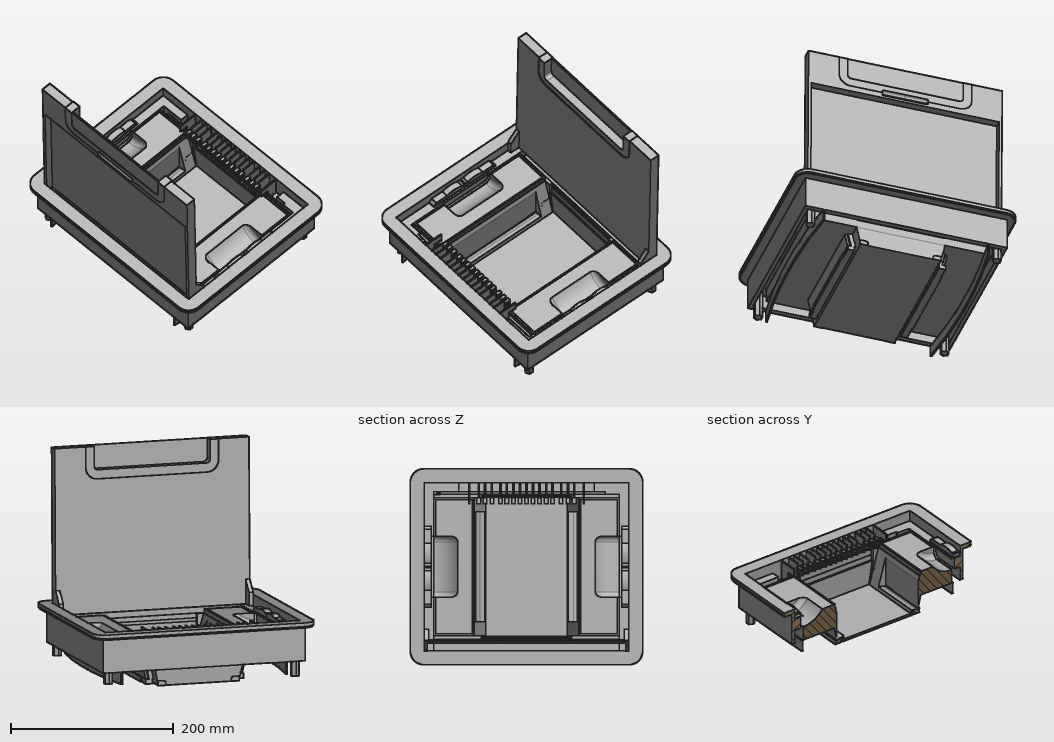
import cadquery as cq
import math

FLANGE_X = 285.97
FLANGE_Y = 240.97
FLANGE_RADIUS = 17.0
FLANGE_EDGE = 4.8
FLANGE_THICKNESS = 6.6
FLANGE_STEP = 1.0

BOX_X = 262.0
BOX_Y = 219.0
BOX_BOTTOM = -49.6
OPENING_HALF_X = 125.9
OPENING_BACK = 103.2
OPENING_FRONT = -103.2
FLOOR_TOP = -27.0
FLOOR_THICKNESS = 4.0
FLOOR_BOTTOM = FLOOR_TOP - FLOOR_THICKNESS
LEDGE_TOP = -14.5

TRAY_HALF_X = 113.8
TRAY_HALF_Y = 89.0
TRAY_TOP = -21.0
PANEL_TOP = -15.0
PANEL_OUTER_X = 111.7
PANEL_INNER_X = 66.8
PANEL_HALF_Y = 82.3
BORDER_HALF_Y = 85.0
BORDER_INNER_X = 64.8
BORDER_DROP = 0.6

RAIL_BACK = 92.0
RAIL_RIGHT = 97.0
RAIL_TOP = -22.0
SLOT_RIGHT = -106.0

SHELF_INNER_X = 83.4

FIN_OFFSETS = [8.0, 16.0, 24.2, 31.9, 42.5, 51.0, 58.6]
FIN_WIDTH = 1.4
FIN_FRONT = 85.0
FIN_TOP = -1.0
TAB_WIDTH = 4.6
TAB_FRONT = 77.5
TAB_THICKNESS = 3.0
TAB_TOPS = [-5.0, -11.0]
END_FIN_X = 70.3
END_FIN_TIP = -12.0

CLIP_HALF_Y = 50.0
CLIP_DEPTH = 9.0
CLIP_TOP = -9.5
CLIP_CHAMFER = 4.0
HUMP_INNER_Y = 4.6
HUMP_OUTER_Y = 28.8
HUMP_RISE = 2.5
CLIP_GAP = 1.8

SCOOP_HALF_Y = 37.5
SCOOP_DEPTH = 15.0
SCOOP_INNER_X = 84.5
SCOOP_WIDTH = TRAY_HALF_X - SCOOP_INNER_X
SCOOP_RADIUS = (SCOOP_WIDTH**2 + SCOOP_DEPTH**2) / (2 * SCOOP_DEPTH)
SCOOP_OUTER_X = 117.0
SCOOP_END_RADIUS = 7.0

LEG_DIAMETER = 10.8
LEG_X = 121.0
LEG_Y = 98.7
LEG_BOTTOM_LEFT = -69.4
LEG_BOTTOM_RIGHT = -64.9
BOW_BOTTOM = -64.9
BOW_END_X = 107.8
BOW_MIDDLE_X = 116.0
BOW_THICKNESS = 2.0

CUP_BOTTOM = -73.8
CUP_FLOOR = -70.0
CUP_TOP_HALF_X = 64.0
CUP_FLOOR_HALF_X = 50.2
CUP_TOP_HALF_Y = 84.5
CUP_END_HALF_X = 55.7
CUP_LEDGE = -38.0
CUP_END_HALF_Y = 88.0
CUP_LEDGE_HALF_Y = 86.0
CUP_FLOOR_HALF_Y = 85.6
CUP_OUTER_TOP_X = 57.5
CUP_OUTER_BOTTOM_X = 52.0
CUP_OUTER_TOP_Y = 89.0
CUP_OUTER_BOTTOM_Y = 87.6

BULGE_TOP_X = 66.4
BULGE_TAPER = 3.9
BULGE_HALF_Y = 73.0
BULGE_STEP_X = 3.2
BULGE_STEP_Y = 3.0
BULGE_BOTTOM = -67.7
POCKET_HALF_Y = 67.5
POCKET_OUTER_X = 62.2
POCKET_OUTER_Z = -68.0
POCKET_KNEE_Z = -66.5
POCKET_INNER_X = 51.5
POCKET_INNER_Z = -65.5
POCKET_TOP = -27.0
POCKET_KNEE_X = 57.7
FOOT_X = 64.3
FOOT_END_X = 63.3
FOOT_INNER_X = 55.0
FOOT_HALF_Y = 56.0
LIP_INNER_X = 42.4
LIP_OUTER_X = 52.5
LIP_Y = 88.2
LIP_DEPTH = 2.5
LIP_RADIUS = 3.0

TILT = 1.0
LID_TOP = 194.3
LID_HALF_X = 125.8
LID_THICKNESS = 12.9
LATCH_THICKNESS = 13.9
LID_FRONT = -102.9
LID_BOTTOM = -14.0
LID_HEIGHT = (LID_TOP - LATCH_THICKNESS * math.sin(math.radians(TILT))) / math.cos(math.radians(TILT))
INLAY_HALF_X = 121.9
INLAY_TOP = LID_HEIGHT - 48.4
INLAY_DEPTH = 9.6
EAR_THICKNESS = 5.5
EAR_REACH = 26.0
EAR_TOP = 17.0
EAR_NOSE = 2.5

LATCH_OUTER_X = 86.0
LATCH_OUTER_DROP = 40.6
LATCH_OUTER_RADIUS = 15.0
LATCH_INNER_X = 75.0
LATCH_INNER_DROP = 29.2
LATCH_INNER_RADIUS = 5.0
WEB_RECESS = 0.4
WEB_THICKNESS = 1.8
GRIP_HALF_X = 29.8
GRIP_RADIUS = 3.8
GRIP_END_RADIUS = 2.3
GRIP_DROP = LATCH_OUTER_DROP


def block(x0, x1, y0, y1, z0, z1):
    """Axis-aligned box between two opposite corners."""
    return cq.Workplane("XY").box(x1 - x0, y1 - y0, z1 - z0, centered=False).translate((x0, y0, z0))


def side_block(side, x0, x1, y0, y1, z0, z1):
    """Box given for the +X side, placed on the side named by +1 or -1."""
    left, right = sorted((side * x0, side * x1))
    return block(left, right, y0, y1, z0, z1)


def tapered_block(half_x0, half_y0, z0, half_x1, half_y1, z1):
    """Centred block whose rectangle changes from level z0 to level z1."""
    return (
        cq.Workplane("XY", origin=(0, 0, z0)).rect(2 * half_x0, 2 * half_y0)
        .workplane(offset=z1 - z0).rect(2 * half_x1, 2 * half_y1).loft(ruled=True)
    )


def prism_along_y(side, outline, half_y):
    """XZ outline given for the +X side, extruded evenly about Y = 0."""
    points = [(side * x, z) for x, z in outline]
    return cq.Workplane("XZ").polyline(points).close().extrude(half_y, both=True)


def scoop(side):
    """Rounded finger hollow cut down into a tray panel and the ledge beside it."""
    axis_z = PANEL_TOP - SCOOP_DEPTH + SCOOP_RADIUS
    barrel = (
        cq.Workplane("XZ").center(side * TRAY_HALF_X, axis_z).circle(SCOOP_RADIUS)
        .extrude(SCOOP_HALF_Y, both=True).edges("%CIRCLE").fillet(SCOOP_END_RADIUS)
    )
    limit = side_block(side, SCOOP_INNER_X, SCOOP_OUTER_X, -SCOOP_HALF_Y, SCOOP_HALF_Y,
                       PANEL_TOP - SCOOP_DEPTH, PANEL_TOP)
    return barrel.intersect(limit)


def make_shell():
    """Flanged box with a floor that is open where the tray sits."""
    flange = cq.Workplane("XY").rect(FLANGE_X, FLANGE_Y).extrude(-FLANGE_EDGE)
    flange = flange.edges("|Z").fillet(FLANGE_RADIUS)
    lower_x = FLANGE_X - 2 * FLANGE_STEP
    lower_y = FLANGE_Y - 2 * FLANGE_STEP
    lower = cq.Workplane("XY").rect(lower_x, lower_y).extrude(-FLANGE_THICKNESS)
    lower = lower.edges("|Z").fillet(FLANGE_RADIUS - FLANGE_STEP)
    box = cq.Workplane("XY").rect(BOX_X, BOX_Y).extrude(BOX_BOTTOM)
    cavity = block(-OPENING_HALF_X, OPENING_HALF_X, OPENING_FRONT, OPENING_BACK, BOX_BOTTOM, 0)
    floor = block(-OPENING_HALF_X, OPENING_HALF_X, OPENING_FRONT, OPENING_BACK, FLOOR_BOTTOM, FLOOR_TOP)
    tray_hole = block(-TRAY_HALF_X, TRAY_HALF_X, -TRAY_HALF_Y, TRAY_HALF_Y, BOX_BOTTOM, 0)
    return flange.union(lower).union(box).cut(cavity).union(floor).cut(tray_hole)


def side_clip(side):
    """Clip on a side wall: split in the middle, with a hump on each half."""
    inner_x = OPENING_HALF_X - CLIP_DEPTH
    corner = CLIP_HALF_Y - CLIP_CHAMFER
    hump_middle = (HUMP_INNER_Y + HUMP_OUTER_Y) / 2
    profile = (
        cq.Workplane("YZ").moveTo(-CLIP_HALF_Y, LEDGE_TOP)
        .lineTo(-CLIP_HALF_Y, CLIP_TOP - CLIP_CHAMFER)
        .lineTo(-corner, CLIP_TOP)
        .lineTo(-HUMP_OUTER_Y, CLIP_TOP)
        .threePointArc((-hump_middle, CLIP_TOP + HUMP_RISE), (-HUMP_INNER_Y, CLIP_TOP))
        .lineTo(HUMP_INNER_Y, CLIP_TOP)
        .threePointArc((hump_middle, CLIP_TOP + HUMP_RISE), (HUMP_OUTER_Y, CLIP_TOP))
        .lineTo(corner, CLIP_TOP)
        .lineTo(CLIP_HALF_Y, CLIP_TOP - CLIP_CHAMFER)
        .lineTo(CLIP_HALF_Y, LEDGE_TOP).close()
    )
    start = inner_x if side > 0 else -OPENING_HALF_X
    clip = profile.extrude(CLIP_DEPTH).translate((start, 0, 0))
    gap = side_block(side, inner_x, OPENING_HALF_X, -CLIP_GAP / 2, CLIP_GAP / 2, LEDGE_TOP, CLIP_TOP)
    return clip.cut(gap)


def fin(x, front, tip):
    """Fin on the back wall; its part over the tray stops at the level of its tip."""
    left = x - FIN_WIDTH / 2
    right = x + FIN_WIDTH / 2
    root = block(left, right, TRAY_HALF_Y, OPENING_BACK, FLOOR_TOP, FIN_TOP)
    return root.union(block(left, right, front, TRAY_HALF_Y, tip, FIN_TOP))


def cable_comb():
    """Fins on the back wall, each with tabs that reach over the tray."""
    comb = cq.Workplane("XY")
    centres = [0.0] + FIN_OFFSETS + [-x for x in FIN_OFFSETS]
    for x in centres:
        comb = comb.union(fin(x, FIN_FRONT, TRAY_TOP))
        for top in TAB_TOPS:
            comb = comb.union(block(x - TAB_WIDTH / 2, x + TAB_WIDTH / 2, TAB_FRONT, FIN_FRONT,
                                    top - TAB_THICKNESS, top))
    for x in (-END_FIN_X, END_FIN_X):
        comb = comb.union(fin(x, TAB_FRONT, END_FIN_TIP))
    return comb


def bowed_skid(side):
    """Thin upright strip under the box, bowed outward between its ends."""
    end_y = BOX_Y / 2
    inner_end = BOW_END_X - BOW_THICKNESS
    inner_middle = BOW_MIDDLE_X - BOW_THICKNESS
    return (
        cq.Workplane("XY", origin=(0, 0, BOW_BOTTOM)).moveTo(side * BOW_END_X, -end_y)
        .threePointArc((side * BOW_MIDDLE_X, 0), (side * BOW_END_X, end_y))
        .lineTo(side * inner_end, end_y)
        .threePointArc((side * inner_middle, 0), (side * inner_end, -end_y)).close()
        .extrude(BOX_BOTTOM - BOW_BOTTOM)
    )


def hex_legs(side):
    """Two hexagonal legs under one side of the floor, corners along Y."""
    bottom = LEG_BOTTOM_RIGHT if side > 0 else LEG_BOTTOM_LEFT
    legs = cq.Workplane("XY")
    for y in (-LEG_Y, LEG_Y):
        leg = cq.Workplane("XY").polygon(6, LEG_DIAMETER).extrude(FLOOR_TOP - bottom)
        legs = legs.union(leg.rotate((0, 0, 0), (0, 0, 1), 90).translate((side * LEG_X, y, bottom)))
    return legs


def make_housing():
    housing = make_shell()
    housing = housing.union(block(SLOT_RIGHT, RAIL_RIGHT, TRAY_HALF_Y, RAIL_BACK, FLOOR_TOP, RAIL_TOP))
    for side in (-1, 1):
        housing = housing.union(side_block(side, TRAY_HALF_X, OPENING_HALF_X, OPENING_FRONT, OPENING_BACK,
                                           FLOOR_BOTTOM, LEDGE_TOP))
        housing = housing.union(side_block(side, SHELF_INNER_X, OPENING_HALF_X, RAIL_BACK, OPENING_BACK,
                                           FLOOR_TOP, LEDGE_TOP))
        housing = housing.cut(scoop(side))
        housing = housing.union(side_clip(side))
        housing = housing.union(bowed_skid(side)).union(hex_legs(side))
    housing = housing.union(block(RAIL_RIGHT, TRAY_HALF_X, TRAY_HALF_Y, RAIL_BACK, FLOOR_TOP, LEDGE_TOP))
    housing = housing.union(cable_comb())
    slot = block(-TRAY_HALF_X, SLOT_RIGHT, TRAY_HALF_Y, RAIL_BACK, FLOOR_BOTTOM, FLOOR_TOP)
    return housing.cut(slot)


def cup_bulge(side):
    """Outward bulge of a cup side wall, standing on a narrow foot."""
    bulge = cq.Workplane("XY")
    for set_back, half_y in ((BULGE_STEP_X, BULGE_HALF_Y), (0, BULGE_HALF_Y - BULGE_STEP_Y)):
        top_x = BULGE_TOP_X - set_back
        bulge = bulge.union(prism_along_y(side, [(CUP_FLOOR_HALF_X, BOX_BOTTOM), (top_x, BOX_BOTTOM),
                                                 (top_x - BULGE_TAPER, BULGE_BOTTOM),
                                                 (CUP_FLOOR_HALF_X, BULGE_BOTTOM)], half_y))
    for reach, half_y in ((FOOT_END_X, BULGE_HALF_Y), (FOOT_X, FOOT_HALF_Y)):
        bulge = bulge.union(side_block(side, FOOT_INNER_X, reach, -half_y, half_y, CUP_BOTTOM, BULGE_BOTTOM))
    return bulge


def cup_pocket(side):
    """Pocket in a cup side wall, with a floor of two slopes."""
    outline = [(CUP_FLOOR_HALF_X, POCKET_TOP), (POCKET_OUTER_X, POCKET_TOP), (POCKET_OUTER_X, POCKET_OUTER_Z),
               (POCKET_KNEE_X, POCKET_KNEE_Z), (POCKET_INNER_X, POCKET_INNER_Z),
               (CUP_FLOOR_HALF_X, POCKET_INNER_Z)]
    return prism_along_y(side, outline, POCKET_HALF_Y)


def cup_lip(side, end):
    """Raised pad on an end wall at the bottom of the cup, one corner rounded."""
    pad = side_block(side, LIP_INNER_X, LIP_OUTER_X, CUP_OUTER_BOTTOM_Y - LIP_DEPTH, LIP_Y, CUP_BOTTOM,
                     BULGE_BOTTOM)
    pad = pad.edges("|Y and >Z").edges("<X" if side > 0 else ">X").fillet(LIP_RADIUS)
    return pad if end > 0 else pad.mirror("XZ")


def make_tray():
    tray = block(-TRAY_HALF_X, TRAY_HALF_X, -TRAY_HALF_Y, TRAY_HALF_Y, BOX_BOTTOM, TRAY_TOP)
    tray = tray.union(tapered_block(CUP_OUTER_BOTTOM_X, CUP_OUTER_BOTTOM_Y, CUP_BOTTOM,
                                    CUP_OUTER_TOP_X, CUP_OUTER_TOP_Y, BOX_BOTTOM))
    for side in (-1, 1):
        tray = tray.union(side_block(side, BORDER_INNER_X, TRAY_HALF_X, -BORDER_HALF_Y, BORDER_HALF_Y,
                                     TRAY_TOP, PANEL_TOP - BORDER_DROP))
        tray = tray.union(side_block(side, PANEL_INNER_X, PANEL_OUTER_X, -PANEL_HALF_Y, PANEL_HALF_Y,
                                     TRAY_TOP, PANEL_TOP))
        tray = tray.cut(scoop(side))
        tray = tray.union(cup_bulge(side))
        for end in (-1, 1):
            tray = tray.union(cup_lip(side, end))
    tray = tray.cut(tapered_block(CUP_FLOOR_HALF_X, CUP_TOP_HALF_Y, CUP_FLOOR,
                                  CUP_TOP_HALF_X, CUP_TOP_HALF_Y, TRAY_TOP))
    tray = tray.cut(tapered_block(CUP_FLOOR_HALF_X, CUP_FLOOR_HALF_Y, CUP_FLOOR,
                                  CUP_END_HALF_X, CUP_LEDGE_HALF_Y, CUP_LEDGE))
    tray = tray.cut(block(-CUP_END_HALF_X, CUP_END_HALF_X, -CUP_END_HALF_Y, CUP_END_HALF_Y,
                          CUP_LEDGE, TRAY_TOP))
    for side in (-1, 1):
        tray = tray.cut(cup_pocket(side))
    return tray


def notch(half_x, drop, radius, y0, y1):
    """Block hanging from the top edge, with its two lower corners rounded."""
    body = block(-half_x, half_x, y0, y1, LID_HEIGHT - drop, LID_HEIGHT)
    return body.edges("|Y and <Z").fillet(radius)


def grip():
    """Half-round finger groove with rounded ends, shared by lid and latch."""
    return (
        cq.Workplane("YZ").center(0, LID_HEIGHT - GRIP_DROP).circle(GRIP_RADIUS)
        .extrude(GRIP_HALF_X, both=True).edges("%CIRCLE").fillet(GRIP_END_RADIUS)
    )


def lean(body):
    """Tilt an upright body toward -Y and set it at the front of the opening."""
    return body.rotate((0, 0, 0), (1, 0, 0), TILT).translate((0, LID_FRONT, 0))


def make_lid():
    lid = block(-LID_HALF_X, LID_HALF_X, 0, LID_THICKNESS, LID_BOTTOM, LID_HEIGHT)
    lid = lid.cut(block(-INLAY_HALF_X, INLAY_HALF_X, 0, INLAY_DEPTH, LID_BOTTOM, INLAY_TOP))
    ear = (
        cq.Workplane("YZ")
        .polyline([(LID_THICKNESS, LID_BOTTOM), (EAR_REACH, LID_BOTTOM), (EAR_REACH, EAR_NOSE),
                   (LID_THICKNESS, EAR_TOP)]).close().extrude(EAR_THICKNESS)
    )
    for start in (-LID_HALF_X, LID_HALF_X - EAR_THICKNESS):
        lid = lid.union(ear.translate((start, 0, 0)))
    lid = lid.cut(notch(LATCH_OUTER_X, LATCH_OUTER_DROP, LATCH_OUTER_RADIUS, 0, LID_THICKNESS))
    return lean(lid.cut(grip()))


def make_latch():
    latch = notch(LATCH_OUTER_X, LATCH_OUTER_DROP, LATCH_OUTER_RADIUS, 0, LATCH_THICKNESS)
    latch = latch.cut(notch(LATCH_INNER_X, LATCH_INNER_DROP, LATCH_INNER_RADIUS, 0, LATCH_THICKNESS))
    latch = latch.union(notch(LATCH_INNER_X, LATCH_INNER_DROP, LATCH_INNER_RADIUS, WEB_RECESS,
                              WEB_RECESS + WEB_THICKNESS))
    return lean(latch.cut(grip()))


housing = make_housing()
tray = make_tray()
lid = make_lid()
latch = make_latch()
result = cq.Compound.makeCompound([housing.val(), tray.val(), lid.val(), latch.val()])